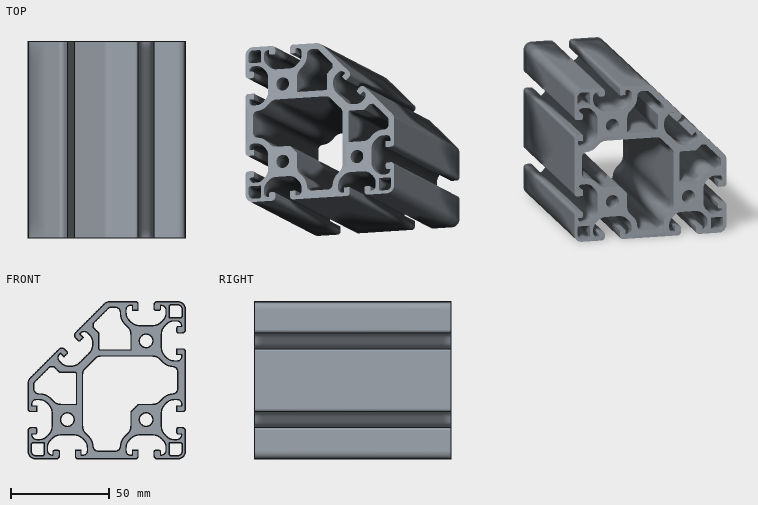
import cadquery as cq
import math

module = 40.0
size = 2 * module
length = 100.0
bevel_leg = module
corner_radius = 4.0
half_module = module / 2
far_center = size - half_module

bore_diameter = 6.8

mouth_half = 4.0
lip_depth = 4.5
undercut_depth = 2.0
slot_half = 10.1
slot_depth = 12.2
slot_slope_sum = 18.1
flank_radius = 5.0
floor_radius = 6.0

plain_lip = (7.0, 1.5, 0.0, 0.0, 2.0)
corner_lip = (7.4, 1.7, 1.0, 1.0, 2.5)
bevel_lip = (7.0, 1.9, 0.5, 0.0, 2.5)

web = 3.0
skin = 4.0
thin_skin = 3.0
core_half = half_module - slot_depth
web_half = slot_half + web
web_slope_sum = slot_slope_sum + web * math.sqrt(2)
web_radius = flank_radius + web
root_radius = 5.0
pocket_radius = 2.5

core_chamfer = 3.9
bevel_wall_depth = 16.4
bevel_wall_radius = 3.0

pocket_wall = 4.6
pocket_end = 44.0
pocket_step = 46.8
pocket_flank_sum = 60.0
pocket_end_radius = 0.8
pocket_bevel_radius = 1.5

hollow_near = 1.7
hollow_far = 8.2
hollow_small_radius = 0.8


def rounded_outline(corners):
    """Close a wire through (x, z, radius) corners, rounding each by its radius."""
    stops = []
    for i, (x, z, radius) in enumerate(corners):
        corner = cq.Vector(x, z, 0)
        previous = corners[i - 1]
        following = corners[(i + 1) % len(corners)]
        back = (cq.Vector(previous[0], previous[1], 0) - corner).normalized()
        ahead = (cq.Vector(following[0], following[1], 0) - corner).normalized()
        if radius == 0:
            stops.append((corner, None, corner))
            continue
        half_angle = back.getAngle(ahead) / 2
        tangent = radius / math.tan(half_angle)
        sagitta = radius / math.sin(half_angle) - radius
        middle = corner + (back + ahead).normalized() * sagitta
        stops.append((corner + back * tangent, middle, corner + ahead * tangent))

    outline = cq.Workplane("XZ").moveTo(*stops[0][2].toTuple()[:2])
    for start, middle, end in stops[1:] + stops[:1]:
        outline = outline.lineTo(*start.toTuple()[:2])
        if middle is not None:
            outline = outline.threePointArc(middle.toTuple()[:2], end.toTuple()[:2])
    return outline.close()


def prism(corners):
    """Extrude a rounded outline over the full length, toward +Y."""
    return rounded_outline(corners).extrude(-length)


def slot_side(lip):
    """One half of a slot, from mouth to floor, as (half width, depth, radius)."""
    undercut_half, mouth_radius, inner_radius, outer_radius, undercut_radius = lip
    return [
        (mouth_half, 0, mouth_radius),
        (mouth_half, lip_depth, inner_radius),
        (undercut_half, lip_depth, outer_radius),
        (undercut_half, undercut_depth, 0),
        (slot_half, undercut_depth, undercut_radius),
        (slot_half, slot_slope_sum - slot_half, flank_radius),
        (slot_slope_sum - slot_depth, slot_depth, floor_radius),
    ]


def slot(x, z, heading, first_lip, last_lip):
    """Slot corners centred on a face; heading is the counterclockwise travel angle."""
    along_x = math.cos(math.radians(heading))
    along_z = math.sin(math.radians(heading))
    first = [(-half, depth, radius) for half, depth, radius in slot_side(first_lip)]
    last = slot_side(last_lip)[::-1]
    return [
        (x + u * along_x - depth * along_z, z + u * along_z + depth * along_x, radius)
        for u, depth, radius in first + last
    ]


def mirror_across_bevel(corners):
    """Reflect corners in the profile's diagonal symmetry line."""
    return [(size - z, size - x, radius) for x, z, radius in corners]


body = prism(
    [(0, 0, corner_radius)]
    + slot(half_module, 0, 0, corner_lip, plain_lip)
    + slot(far_center, 0, 0, plain_lip, corner_lip)
    + [(size, 0, corner_radius)]
    + slot(size, half_module, 90, corner_lip, plain_lip)
    + slot(size, far_center, 90, plain_lip, corner_lip)
    + [(size, size, corner_radius)]
    + slot(far_center, size, 180, corner_lip, plain_lip)
    + [(bevel_leg, size, corner_radius)]
    + slot(bevel_leg / 2, size - bevel_leg / 2, 225, bevel_lip, bevel_lip)
    + [(0, size - bevel_leg, corner_radius)]
    + slot(0, half_module, 270, plain_lip, corner_lip)
)

web_bend = web_slope_sum - web_half
web_root = web_slope_sum - core_half
core_near = half_module + core_half
core_far = far_center - core_half
bevel_wall_offset = size - bevel_leg - bevel_wall_depth * math.sqrt(2)
lower_half = [
    (core_near, core_near + bevel_wall_offset, bevel_wall_radius),
    (core_near, web_root, root_radius),
    (half_module + web_half, web_bend, web_radius),
    (half_module + web_half, skin, pocket_radius),
    (far_center - web_half, skin, pocket_radius),
    (far_center - web_half, web_bend, web_radius),
    (core_far, web_root, root_radius),
    (core_far, core_near - core_chamfer, 0),
]
cavity = prism(lower_half + mirror_across_bevel(lower_half)[::-1])

bevel_skin_offset = size - bevel_leg - thin_skin * math.sqrt(2)
pocket_corners = [
    (thin_skin, half_module + web_half, pocket_radius),
    (web_bend, half_module + web_half, web_radius),
    (web_root, core_near, root_radius),
    (half_module + pocket_wall, core_near, 0),
    (half_module + pocket_wall, pocket_end, pocket_end_radius),
    (pocket_flank_sum - pocket_end, pocket_end, 0),
    (pocket_flank_sum - pocket_step, pocket_step, 0),
    (pocket_step - bevel_skin_offset, pocket_step, 0),
    (thin_skin, thin_skin + bevel_skin_offset, pocket_bevel_radius),
]
left_pocket = prism(pocket_corners)
upper_pocket = prism(mirror_across_bevel(pocket_corners))

result = body.cut(cavity).cut(left_pocket).cut(upper_pocket)

for corner_x, corner_z in [(0, 0), (size, 0), (size, size)]:
    x_near, x_far = [abs(corner_x - reach) for reach in (hollow_near, hollow_far)]
    z_near, z_far = [abs(corner_z - reach) for reach in (hollow_near, hollow_far)]
    hollow = prism([
        (x_near, z_near, corner_radius - hollow_near),
        (x_far, z_near, hollow_small_radius),
        (x_far, z_far, 0),
        (x_near, z_far, hollow_small_radius),
    ])
    result = result.cut(hollow)

bore_centers = [(half_module, half_module), (far_center, half_module), (far_center, far_center)]
bores = cq.Workplane("XZ").pushPoints(bore_centers).circle(bore_diameter / 2).extrude(-length)
result = result.cut(bores)